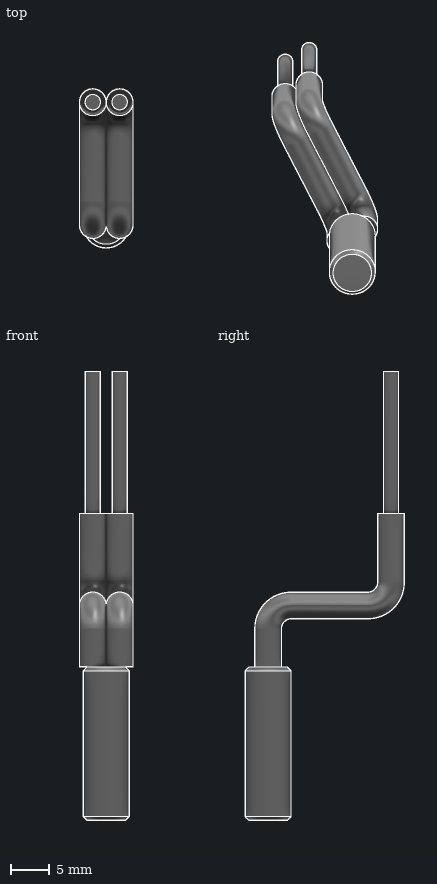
import cadquery as cq
import math

body_diameter = 6.0
body_length = 20.0
body_edge_chamfer = 0.5

sleeve_diameter = 3.5
wire_diameter = 2.0
lead_offset = sleeve_diameter / 2

bend_radius = 3.0
lower_straight = 5.0
lead_shift = 16.0
upper_straight = 9.0

overall_height = 58.5

lower_bend_z = body_length + lower_straight
crossing_z = lower_bend_z + bend_radius
upper_bend_z = crossing_z + bend_radius
sleeve_top_z = upper_bend_z + upper_straight
wire_length = overall_height - sleeve_top_z
arc_mid = bend_radius * math.sin(math.radians(45))


def make_body():
    """Round body with both end edges chamfered."""
    body = cq.Workplane("XY").circle(body_diameter / 2).extrude(body_length)
    return body.faces("<Z or >Z").edges().chamfer(body_edge_chamfer)


def make_sleeve(x):
    """Insulation of one lead: up, across towards +Y, then up again."""
    centreline = (
        cq.Workplane("YZ", origin=(x, 0, 0))
        .moveTo(0, body_length)
        .lineTo(0, lower_bend_z)
        .threePointArc(
            (bend_radius - arc_mid, lower_bend_z + arc_mid),
            (bend_radius, crossing_z),
        )
        .lineTo(lead_shift - bend_radius, crossing_z)
        .threePointArc(
            (lead_shift - bend_radius + arc_mid, upper_bend_z - arc_mid),
            (lead_shift, upper_bend_z),
        )
        .lineTo(lead_shift, sleeve_top_z)
    )
    profile = cq.Workplane("XY", origin=(x, 0, body_length)).circle(sleeve_diameter / 2)
    return profile.sweep(centreline)


def make_wire(x):
    """Bare straight conductor rising from the end of one sleeve."""
    base = cq.Workplane("XY", origin=(x, lead_shift, sleeve_top_z))
    return base.circle(wire_diameter / 2).extrude(wire_length)


result = make_body()
for lead_x in (-lead_offset, lead_offset):
    result = result.union(make_sleeve(lead_x)).union(make_wire(lead_x))